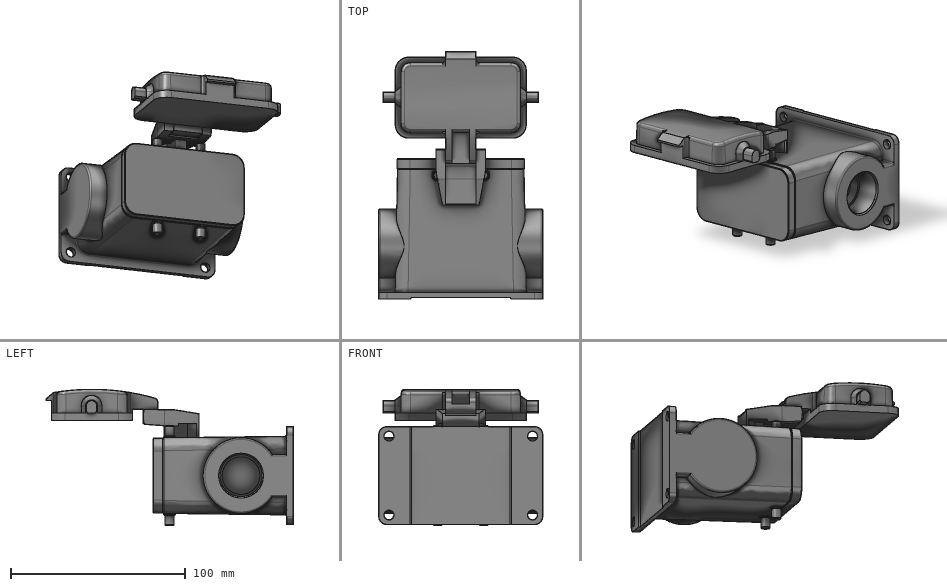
import cadquery as cq
import math


plate_width = 94.0
plate_height = 56.2
plate_thickness = 4.0
plate_corner_radius = 4.7
screw_hole_diameter = 5.5
screw_hole_x = 41.1
screw_hole_z = 22.5
recess_depth = 0.9
recess_width = 56.5

body_width = 75.2
body_height = 45.1
body_corner_radius = 7.4
body_end_width = 72.6
body_end_height = 43.4
body_end_y = 74.3
groove_width = 0.7
groove_depth = 0.4
collar_width = 73.2
collar_height = 43.0
collar_end_y = 80.5
collar_edge_break = 0.4
root_fillet = 0.9

entry_y = 30.0
entry_radius = 21.7
entry_inner_x = 28.4
entry_edge_fillet = 0.92
neck_height = 24.4
bore_radius = 12.0
bore_depth = 14.2
bore_chamfer = 0.78
inner_bore_radius = 10.8
inner_bore_depth = 5.7

pin_x = 13.2
pin_y = 71.0
pin_radius = 2.7
pin_foot_radius = 3.4
pin_foot_height = 1.3
pin_foot_chamfer = 0.5
pin_end_z = 28.6
pin_chamfer = 0.5

bracket_front_y = 54.0
bracket_crest_y = 68.8
bracket_taper_y = 74.0
bracket_back_y = 86.2
bracket_width = 28.6
bracket_front_width = 21.0
bracket_top_z = 37.9
bracket_front_top_z = 35.5
bracket_bottom_z = 29.8
bracket_pad_y = 66.0
bracket_pad_z = 28.5
bracket_back_bottom_z = 29.4
bracket_back_setback = 0.7
bracket_nose_z = 34.0
bracket_wall = 1.4
floor_z = 35.3
floor_front_break_y = 0.4
floor_front_break_z = 0.9
floor_back_y = 76.5
floor_back_z = 33.6
floor_arm_z = 32.9
support_width = 7.1
support_flare_width = 18.5
support_front_y = 60.8
support_back_y = 74.3
support_base_z = 21.3

lid_y = 115.51
lid_rim_width = 75.2
lid_rim_length = 46.5
lid_rim_corner_radius = 8.0
lid_rim_bottom_z = 31.5
lid_rim_top_z = 35.7
lid_box_width = 68.6
lid_box_length = 40.3
lid_box_corner_radius = 5.4
lid_box_draft = 1.0
lid_crown_z = 49.5
lid_crown_radius = 130.5
lid_top_fillet = 2.0

rib_width = 17.3
arm_end_y = 77.7
arm_end_radius = 2.5
arm_bottom_z = 38.0
arm_pocket_width = 9.9
arm_pocket_floor_z = 41.1
rib_root_fillet = 1.8
catch_tip_y = 141.8
catch_tip_top_z = 44.0
catch_tip_bottom_z = 43.0
catch_slope_y = 137.5

trunnion_y = 115.7
trunnion_z = 40.0
trunnion_radius = 3.0
trunnion_end_x = 44.5
trunnion_chamfer = 1.0
trunnion_base_radius = 6.4
trunnion_shoulder_radius = 3.4
trunnion_overlap = 0.7

pick_margin = 0.1


def rounded_rectangle(width, height, radius):
    return cq.Sketch().rect(width, height).vertices().fillet(radius)


def rounded_prism_y(width, height, radius, start_y, end_y):
    """Rounded rectangle in XZ, extruded along +Y."""
    base = cq.Workplane("XZ", origin=(0, start_y, 0))
    return base.placeSketch(rounded_rectangle(width, height, radius)).extrude(start_y - end_y)


def rounded_prism_z(width, length, radius, start_z, end_z, draft=0.0):
    """Rounded rectangle in XY around the lid centre, extruded along +Z."""
    base = cq.Workplane("XY", origin=(0, lid_y, start_z))
    return base.placeSketch(rounded_rectangle(width, length, radius)).extrude(end_z - start_z, taper=draft)


def side_profile(points, width):
    """Polygon of (y, z) points, extruded symmetrically along X."""
    return cq.Workplane("YZ").polyline(points).close().extrude(width / 2, both=True)


def make_plate():
    return rounded_prism_y(plate_width, plate_height, plate_corner_radius, 0, plate_thickness)


def cut_plate_features(part):
    """Four screw holes and the shallow, slope-sided recess across the outer face."""
    holes = (
        cq.Workplane("XZ")
        .rect(2 * screw_hole_x, 2 * screw_hole_z, forConstruction=True)
        .vertices()
        .circle(screw_hole_diameter / 2)
        .extrude(-plate_thickness)
    )
    half_floor = recess_width / 2
    half_mouth = half_floor + recess_depth
    recess = (
        cq.Workplane("XY")
        .moveTo(-half_mouth, 0)
        .lineTo(half_mouth, 0)
        .lineTo(half_floor, recess_depth)
        .lineTo(-half_floor, recess_depth)
        .close()
        .extrude(plate_height, both=True)
    )
    return part.cut(holes).cut(recess)


def make_body():
    near_end = rounded_rectangle(body_width, body_height, body_corner_radius)
    far_end = rounded_rectangle(body_end_width, body_end_height, body_corner_radius)
    body_length = body_end_y - plate_thickness
    body = (
        cq.Workplane("XZ", origin=(0, plate_thickness, 0))
        .placeSketch(near_end, far_end.moved(cq.Location(cq.Vector(0, 0, -body_length))))
        .loft(ruled=True)
    )
    groove_end_y = body_end_y + groove_width
    groove_core = rounded_prism_y(
        collar_width - 2 * groove_depth,
        collar_height - 2 * groove_depth,
        body_corner_radius - groove_depth,
        body_end_y,
        groove_end_y,
    )
    collar = rounded_prism_y(collar_width, collar_height, body_corner_radius, groove_end_y, collar_end_y)
    collar = collar.faces(">Y").edges().chamfer(collar_edge_break)
    return body.union(groove_core).union(collar)


def join_body_to_plate():
    """Body on the plate, with a fillet around its root."""
    joined = make_plate().union(make_body())
    half_width = body_width / 2
    half_height = body_height / 2
    root_edges = cq.selectors.BoxSelector(
        (-half_width - pick_margin, plate_thickness - pick_margin, -half_height - pick_margin),
        (half_width + pick_margin, plate_thickness + pick_margin, half_height + pick_margin),
    )
    return joined.edges(root_edges).fillet(root_fillet)


def make_cable_entry():
    """Round boss on the +X side, joined to the plate by a neck."""
    start = cq.Workplane("YZ", origin=(entry_inner_x, 0, 0))
    length = plate_width / 2 - entry_inner_x
    boss = start.center(entry_y, 0).circle(entry_radius).extrude(length)
    half_neck = neck_height / 2
    root_y = plate_thickness + root_fillet
    root_z = half_neck + root_fillet
    arc_reach = root_fillet * (1 - math.sqrt(0.5))
    neck = (
        start.moveTo(entry_y, -half_neck)
        .lineTo(root_y, -half_neck)
        .threePointArc((plate_thickness + arc_reach, -half_neck - arc_reach), (plate_thickness, -root_z))
        .lineTo(0, -root_z)
        .lineTo(0, root_z)
        .lineTo(plate_thickness, root_z)
        .threePointArc((plate_thickness + arc_reach, half_neck + arc_reach), (root_y, half_neck))
        .lineTo(entry_y, half_neck)
        .close()
        .extrude(length)
    )
    entry = boss.union(neck)
    rounded_edges = cq.selectors.BoxSelector(
        (plate_width / 2 - pick_margin, plate_thickness + pick_margin, -plate_height),
        (plate_width / 2 + pick_margin, 2 * entry_y, plate_height),
    )
    return entry.edges(rounded_edges).fillet(entry_edge_fillet)


def make_entry_bore():
    """Stepped blind bore with a chamfered mouth, open on the -X side."""
    mouth_x = -plate_width / 2
    step_x = mouth_x + bore_depth
    end_x = step_x + inner_bore_depth
    half_profile = [
        (mouth_x, 0),
        (mouth_x, bore_radius + bore_chamfer),
        (mouth_x + bore_chamfer, bore_radius),
        (step_x, bore_radius),
        (step_x, inner_bore_radius),
        (end_x, inner_bore_radius),
        (end_x, 0),
    ]
    bore = cq.Workplane("XY").polyline(half_profile).close()
    return bore.revolve(360, (0, 0), (1, 0)).translate((0, entry_y, 0))


def make_pin():
    """Upright pin with a flared foot, rising from inside the body."""
    foot_z = collar_height / 2
    shank = cq.Workplane("XY").circle(pin_radius).extrude(pin_end_z)
    shank = shank.faces(">Z").edges().chamfer(pin_chamfer)
    foot = cq.Workplane("XY").circle(pin_foot_radius).extrude(foot_z + pin_foot_height)
    foot = foot.faces(">Z").edges().chamfer(pin_foot_chamfer)
    return shank.union(foot).translate((pin_x, pin_y, 0))


def make_pins():
    upper = make_pin()
    upper = upper.union(upper.mirror("YZ"))
    return upper.union(upper.mirror("XY"))


def make_bracket():
    """Two tapering cheeks with a floor between them, a front wall and a central support."""
    wall_back_y = bracket_front_y + bracket_wall
    side = side_profile(
        [
            (bracket_front_y, support_base_z),
            (bracket_front_y, bracket_front_top_z),
            (bracket_crest_y, bracket_top_z),
            (bracket_back_y - bracket_back_setback, bracket_top_z),
            (bracket_back_y, bracket_nose_z),
            (bracket_back_y - bracket_back_setback, bracket_back_bottom_z),
            (bracket_taper_y, bracket_pad_z),
            (bracket_pad_y, bracket_pad_z),
            (bracket_pad_y, bracket_bottom_z),
            (wall_back_y, bracket_bottom_z),
            (wall_back_y, support_base_z),
        ],
        bracket_width,
    )
    half_front = bracket_front_width / 2
    half_back = bracket_width / 2
    plan = (
        cq.Workplane("XY")
        .polyline(
            [
                (-half_front, bracket_front_y),
                (half_front, bracket_front_y),
                (half_back, bracket_taper_y),
                (half_back, bracket_back_y),
                (-half_back, bracket_back_y),
                (-half_back, bracket_taper_y),
            ]
        )
        .close()
        .extrude(bracket_top_z)
    )
    gap = side_profile(
        [
            (bracket_front_y, floor_z - floor_front_break_z),
            (bracket_front_y + floor_front_break_y, floor_z),
            (bracket_crest_y, floor_z),
            (floor_back_y, floor_back_z),
            (arm_end_y, floor_arm_z),
            (arm_end_y, bracket_pad_z),
            (bracket_back_y, bracket_pad_z),
            (bracket_back_y, bracket_top_z),
            (bracket_front_y, bracket_top_z),
        ],
        rib_width,
    )
    half_support = support_width / 2
    half_flare = support_flare_width / 2
    support = (
        cq.Workplane("XY", origin=(0, 0, support_base_z))
        .polyline(
            [
                (-half_flare, wall_back_y),
                (half_flare, wall_back_y),
                (half_support, support_front_y),
                (half_support, support_back_y),
                (-half_support, support_back_y),
                (-half_support, support_front_y),
            ]
        )
        .close()
        .extrude(bracket_bottom_z - support_base_z)
    )
    return side.intersect(plan).cut(gap).union(support)


def crown_z(y):
    """Height of the arched lid top at a given y."""
    return lid_crown_z - lid_crown_radius + math.sqrt(lid_crown_radius**2 - (y - lid_y) ** 2)


def crown_arc(workplane, start_y, end_y):
    """Lid top arc from a start to an end y, drawn on a YZ workplane."""
    middle_y = (start_y + end_y) / 2
    workplane = workplane.lineTo(start_y, crown_z(start_y))
    return workplane.threePointArc((middle_y, crown_z(middle_y)), (end_y, crown_z(end_y)))


def make_lid_box():
    """Drafted upper box of the lid with an arched top and rounded top edges."""
    start_y = lid_y - lid_box_length / 2
    end_y = lid_y + lid_box_length / 2
    box = rounded_prism_z(
        lid_box_width,
        lid_box_length,
        lid_box_corner_radius,
        lid_rim_top_z,
        lid_crown_z,
        lid_box_draft,
    )
    crown = crown_arc(cq.Workplane("YZ").moveTo(start_y, lid_rim_bottom_z), start_y, end_y)
    crown = crown.lineTo(end_y, lid_rim_bottom_z).close().extrude(lid_box_width / 2, both=True)
    return box.intersect(crown).faces(">Z").edges().fillet(lid_top_fillet)


def make_rib():
    """Rib under the crown: it ends in the hinge arm on one side and in the catch on the other."""
    rim_near_y = lid_y - lid_rim_length / 2
    rim_far_y = lid_y + lid_rim_length / 2
    arm_end = (0, arm_end_y, crown_z(arm_end_y))
    rib = crown_arc(cq.Workplane("YZ").moveTo(arm_end_y, bracket_bottom_z), arm_end_y, catch_slope_y)
    rib = (
        rib.lineTo(catch_tip_y, catch_tip_top_z)
        .lineTo(catch_tip_y, catch_tip_bottom_z)
        .lineTo(rim_far_y, catch_tip_bottom_z)
        .lineTo(rim_far_y, lid_rim_top_z)
        .lineTo(rim_near_y, lid_rim_top_z)
        .lineTo(rim_near_y, arm_bottom_z)
        .lineTo(bracket_back_y, arm_bottom_z)
        .lineTo(bracket_back_y, bracket_bottom_z)
        .close()
        .extrude(rib_width / 2, both=True)
    )
    return rib.edges(cq.selectors.NearestToPointSelector(arm_end)).fillet(arm_end_radius)


def make_arm_pocket():
    """Trough in the arm, open at the top and at the arm's end."""
    inside_y = lid_y - lid_box_length / 2 + lid_top_fillet
    pocket = cq.Workplane("XY", origin=(0, (arm_end_y + inside_y) / 2, arm_pocket_floor_z))
    pocket = pocket.rect(arm_pocket_width, inside_y - arm_end_y)
    return pocket.extrude(lid_crown_z - arm_pocket_floor_z)


def make_rib_roots():
    """Concave fillet blocks in the four upright corners between the rib and the lid box."""
    rib_x = rib_width / 2
    wall_y = lid_y + lid_box_length / 2
    inside_y = wall_y - lid_top_fillet
    outside_y = wall_y + rib_root_fillet
    outside_x = rib_x + rib_root_fillet
    arc_reach = rib_root_fillet * (1 - math.sqrt(0.5))
    block = (
        cq.Workplane("XY", origin=(0, 0, lid_rim_top_z))
        .moveTo(rib_x, inside_y)
        .lineTo(outside_x, inside_y)
        .lineTo(outside_x, wall_y)
        .threePointArc((rib_x + arc_reach, wall_y + arc_reach), (rib_x, outside_y))
        .close()
        .extrude(crown_z(outside_y) - lid_rim_top_z)
    )
    far_pair = block.union(block.mirror("YZ"))
    return far_pair.union(far_pair.mirror("XZ", (0, lid_y, 0)))


def arch(workplane, radius):
    """Upright arch standing on the lid rim, drawn on a YZ workplane."""
    return (
        workplane.moveTo(trunnion_y - radius, lid_rim_top_z)
        .lineTo(trunnion_y - radius, trunnion_z)
        .threePointArc((trunnion_y, trunnion_z + radius), (trunnion_y + radius, trunnion_z))
        .lineTo(trunnion_y + radius, lid_rim_top_z)
        .close()
    )


def make_trunnion():
    """Arched pin on the +X side of the lid with a flared shoulder."""
    box_x = lid_box_width / 2 - trunnion_overlap
    rim_x = lid_rim_width / 2
    shoulder = arch(cq.Workplane("YZ", origin=(box_x, 0, 0)), trunnion_base_radius)
    shoulder = arch(shoulder.workplane(offset=rim_x - box_x), trunnion_shoulder_radius).loft(ruled=True)
    pin = arch(cq.Workplane("YZ", origin=(box_x, 0, 0)), trunnion_radius).extrude(trunnion_end_x - box_x)
    pin = pin.edges("|X").edges("<Z").chamfer(trunnion_chamfer)
    return shoulder.union(pin)


def make_lid():
    rim = rounded_prism_z(
        lid_rim_width, lid_rim_length, lid_rim_corner_radius, lid_rim_bottom_z, lid_rim_top_z
    )
    upper = make_lid_box().union(make_rib().cut(make_arm_pocket())).union(make_rib_roots())
    trunnion = make_trunnion()
    return upper.union(rim).union(trunnion).union(trunnion.mirror("YZ"))


entry = make_cable_entry()
housing = join_body_to_plate().union(entry).union(entry.mirror("YZ"))
housing = cut_plate_features(housing).cut(make_entry_bore())
result = housing.union(make_pins()).union(make_bracket()).union(make_lid()).solids()